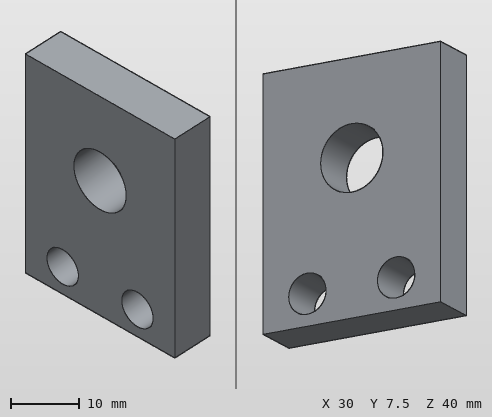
import cadquery as cq

width = 30.0
thickness = 7.5
height = 40.0

bore_diameter = 10.5
bore_height = 24.6

mount_hole_diameter = 6.3
mount_hole_spacing = 15.0
mount_hole_height = 5.0


def make_plate():
    """Upright plate centred in X and Y, standing on Z = 0."""
    return cq.Workplane("XY").box(width, thickness, height, centered=(True, True, False))


def through_hole(x, z, diameter):
    """Cylinder along Y that spans the plate thickness."""
    front_face = cq.Workplane("XZ", origin=(0, -thickness / 2, 0))
    return front_face.center(x, z).circle(diameter / 2).extrude(-thickness)


result = make_plate()
result = result.cut(through_hole(0, bore_height, bore_diameter))
for side in (-1, 1):
    mount_hole_x = side * mount_hole_spacing / 2
    result = result.cut(through_hole(mount_hole_x, mount_hole_height, mount_hole_diameter))